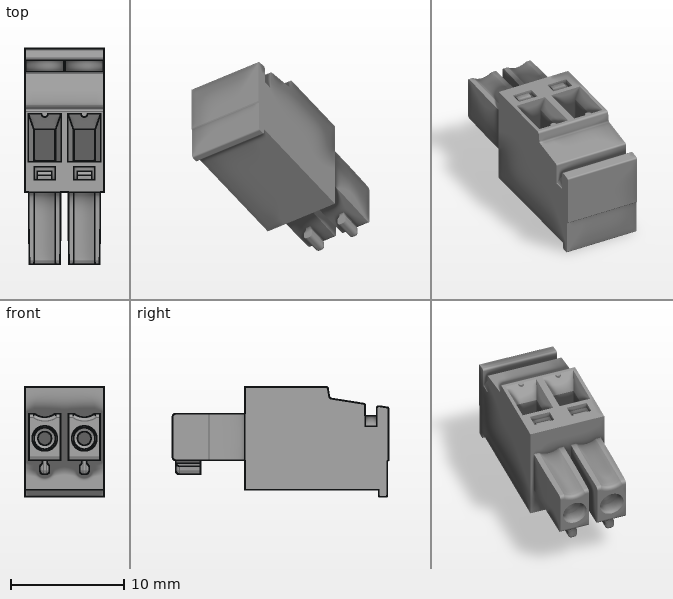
import cadquery as cq
import math


pitch = 3.5
pole_count = 2
width = pitch * pole_count
pole_centres = [(i - (pole_count - 1) / 2) * pitch for i in range(pole_count)]
top_z = 9.11
back_y = 12.7
deck_slope = math.radians(9)
deck_start_y = 7.49
deck_start_z = 8.1
foot_drop = 0.63
foot_front_y = 11.82
foot_back_y = 12.59
back_step_z = 2.64
back_step_chamfer = 0.11

slot_front_y = 10.64
slot_back_y = 11.65
slot_floor_z = 5.63
screw_chord = 3.35
screw_rise = 0.94

step_top_radius = 0.21
step_foot_radius = 0.2
slot_front_radius = 0.17
lip_front_radius = 0.2
lip_back_radius = 0.15
foot_radius = 0.15

funnel_front_y = 2.7
funnel_back_y = 6.91
funnel_width = 2.88
funnel_depth = 1.18
shaft_back_y = 5.54
shaft_width = 1.93
shaft_depth = 3.82
shaft_draft = 0.05
shaft_corner_radius = 0.1
stop_radius = 0.29

window_width = 1.87
window_front_y = 1.09
window_back_y = 2.25
window_depth = 0.52
contact_width = 1.28
contact_height = 0.27
contact_flat_length = 0.38
contact_ramp_length = 0.38

sleeve_length = 6.4
sleeve_straight_length = 3.2
sleeve_width = 2.83
sleeve_tip_width = 2.71
sleeve_bottom_z = 2.6
sleeve_top_z = 6.75
tip_radius = 0.32
groove_diameter = 3.0
groove_chord = 1.85
pin_axis_z = 4.55
mouth_diameter = 2.22
mouth_inner_diameter = 1.9
mouth_depth = 1.15
pin_diameter = 1.2
cone_slope = math.radians(30)
cone_depth = (mouth_inner_diameter - pin_diameter) / 2 * math.tan(cone_slope)

key_front_y = -6.11
key_back_y = -3.92
key_bottom_z = 1.38
key_top_z = sleeve_bottom_z + tip_radius
key_width = 0.84
key_neck_width = 0.45
key_neck_end_z = 2.33
key_shoulder_z = 2.1
key_radius = 0.3


def box(x_range, y_range, z_range):
    sizes = [high - low for low, high in (x_range, y_range, z_range)]
    corner = (x_range[0], y_range[0], z_range[0])
    return cq.Workplane("XY").box(*sizes, centered=False).translate(corner)


def centred(x, size):
    return (x - size / 2, x + size / 2)


def deck_z(y):
    return deck_start_z - (y - deck_start_y) * math.tan(deck_slope)


def side_extrusion(points, x, size):
    """Extrude a (Y, Z) outline along X, centred on x."""
    return cq.Workplane("YZ", origin=(x, 0, 0)).polyline(points).close().extrude(size / 2, both=True)


def tapered_hole(x, top, bottom, upper_z, lower_z):
    """Loft between two rectangles, each given as (width, front Y, back Y)."""
    sections = cq.Workplane("XY", origin=(0, 0, lower_z))
    for (size, front, back), rise in ((bottom, 0), (top, upper_z - lower_z)):
        sections = sections.workplane(offset=rise).center(x, (front + back) / 2)
        sections = sections.rect(size, back - front).center(-x, -(front + back) / 2)
    return sections.loft(ruled=True)


def make_housing():
    """Housing outline extruded across the width, with its exposed corners rounded."""
    step_top_y = deck_start_y - (top_z - deck_start_z) * math.tan(deck_slope)
    step_top = (step_top_y, top_z)
    step_foot = (deck_start_y, deck_start_z)
    slot_front = (slot_front_y, deck_z(slot_front_y))
    lip_front = (slot_back_y, deck_z(slot_back_y))
    lip_back = (back_y, deck_z(back_y))
    foot_front = (foot_front_y, -foot_drop)
    foot_back = (foot_back_y, -foot_drop)
    outline = [
        (0, 0), (0, top_z), step_top, step_foot, slot_front,
        (slot_front_y, slot_floor_z), (slot_back_y, slot_floor_z), lip_front, lip_back,
        (back_y, back_step_z), (foot_back_y, back_step_z - back_step_chamfer),
        foot_back, foot_front, (foot_front_y, 0),
    ]
    housing = side_extrusion(outline, 0, width)
    rounded_corners = (
        (step_top, step_top_radius), (step_foot, step_foot_radius),
        (slot_front, slot_front_radius), (lip_front, lip_front_radius),
        (lip_back, lip_back_radius), (foot_front, foot_radius), (foot_back, foot_radius),
    )
    for (y, z), radius in rounded_corners:
        housing = housing.edges(cq.selectors.NearestToPointSelector((0, y, z))).fillet(radius)
    return housing


def make_screw_head(x):
    """Part-round screw head showing above the slot floor."""
    left, right = centred(x, screw_chord)
    return (
        cq.Workplane("XZ", origin=(0, slot_front_y, 0))
        .moveTo(left, slot_floor_z)
        .threePointArc((x, slot_floor_z + screw_rise), (right, slot_floor_z))
        .close()
        .extrude(slot_front_y - slot_back_y)
    )


def make_wire_entry(x):
    """Cutter for a funnel with a straight front wall, leading into a rectangular shaft."""
    shaft_top_z = top_z - funnel_depth
    shaft_floor_z = shaft_top_z - shaft_depth
    mouth = (funnel_width, funnel_front_y, funnel_back_y)
    throat = (shaft_width, funnel_front_y, shaft_back_y)
    floor = (shaft_width - 2 * shaft_draft, funnel_front_y + shaft_draft, shaft_back_y)
    funnel = tapered_hole(x, mouth, throat, top_z, shaft_top_z)
    shaft = tapered_hole(x, throat, floor, shaft_top_z, shaft_floor_z)
    shaft = shaft.faces("<Y").edges("not #Z").fillet(shaft_corner_radius)
    stop = (
        cq.Workplane("XY", origin=(x, funnel_back_y, shaft_top_z))
        .circle(stop_radius)
        .extrude(funnel_depth)
    )
    return funnel.cut(stop).union(shaft)


def make_test_window(x):
    """Cutter for a shallow window that leaves a ramped contact standing on its floor."""
    floor_z = top_z - window_depth
    window = box(centred(x, window_width), (window_front_y, window_back_y), (floor_z, top_z))
    contact_z = floor_z + contact_height
    ramp_top_y = window_front_y + contact_flat_length
    contact_outline = [
        (window_front_y, floor_z), (window_front_y, contact_z),
        (ramp_top_y, contact_z), (ramp_top_y + contact_ramp_length, floor_z),
    ]
    return window.cut(side_extrusion(contact_outline, x, contact_width))


def make_sleeve(x):
    """Plug sleeve narrowing toward its tip, with a round groove along the top."""
    root = sleeve_width / 2
    tip = sleeve_tip_width / 2
    sleeve = (
        cq.Workplane("XY", origin=(x, 0, sleeve_bottom_z))
        .polyline([
            (-root, 0), (-root, -sleeve_straight_length), (-tip, -sleeve_length),
            (tip, -sleeve_length), (root, -sleeve_straight_length), (root, 0),
        ])
        .close()
        .extrude(sleeve_top_z - sleeve_bottom_z)
    )
    groove_radius = groove_diameter / 2
    groove_axis_z = sleeve_top_z + math.sqrt(groove_radius**2 - (groove_chord / 2) ** 2)
    groove = cq.Workplane("XZ", origin=(x, 0, groove_axis_z)).circle(groove_radius).extrude(sleeve_length)
    sleeve = sleeve.cut(groove)
    return sleeve.faces("<Y").edges("not |Z").fillet(tip_radius)


def make_pin_hole(x):
    """Tapered mouth, short cone and straight bore, turned about the pin axis."""
    mouth_end = mouth_depth + cone_depth
    return (
        cq.Workplane("XY", origin=(x, -sleeve_length, pin_axis_z))
        .polyline([
            (0, 0), (mouth_diameter / 2, 0), (mouth_inner_diameter / 2, mouth_depth),
            (pin_diameter / 2, mouth_end), (pin_diameter / 2, sleeve_length), (0, sleeve_length),
        ])
        .close()
        .revolve(360, (0, 0, 0), (0, 1, 0))
    )


def make_key(x):
    """Rounded coding key hanging from a narrower neck."""
    key = box(centred(x, key_width), (key_front_y, key_back_y), (key_bottom_z, key_top_z))
    key = key.edges("(<Y and |Z) or (<Z and |Y) or (<Y and <Z)").fillet(key_radius)
    half = key_width / 2
    neck = key_neck_width / 2
    profile = (
        cq.Workplane("XZ", origin=(x, key_back_y, 0))
        .polyline([
            (-half, key_bottom_z), (-half, key_shoulder_z), (-neck, key_neck_end_z),
            (-neck, key_top_z), (neck, key_top_z),
            (neck, key_neck_end_z), (half, key_shoulder_z), (half, key_bottom_z),
        ])
        .close()
        .extrude(key_back_y - key_front_y)
    )
    return key.intersect(profile)


result = make_housing()
for pole_x in pole_centres:
    result = result.union(make_screw_head(pole_x))
    result = result.cut(make_wire_entry(pole_x))
    result = result.cut(make_test_window(pole_x))
    result = result.union(make_sleeve(pole_x))
    result = result.union(make_key(pole_x))
    result = result.cut(make_pin_hole(pole_x))